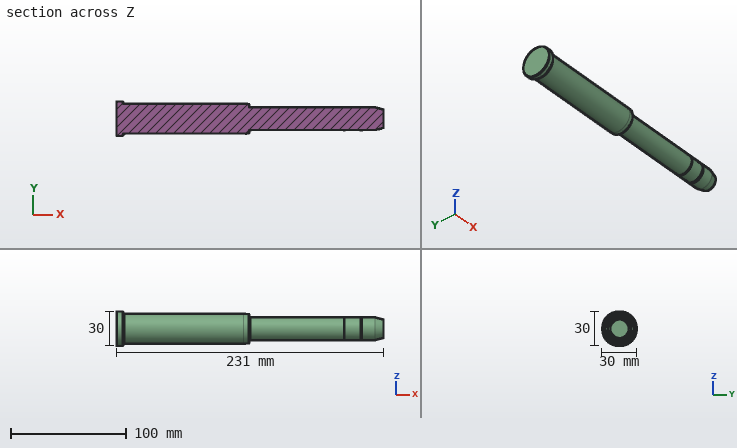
import cadquery as cq
import math

length = 231.0

head_radius = 30.0 / 2
head_length = 6.0
head_chamfer = 1.0
head_face_chamfer = 0.5

body_radius = 26.0 / 2
body_end = 115.0
relief_width = 1.2
relief_depth = 0.12
lead_start = 110.0
lead_drop = 0.12
body_end_chamfer = 1.0

shaft_radius = 20.0 / 2
nose_length = 7.6
nose_angle = 15.0

groove_depth = 0.12
narrow_groove_width = 0.7
narrow_groove_start = 196.5
wide_groove_start = 211.0
wide_groove_width = 1.5


def cylinder(start, width, radius):
    """Solid disc on the X axis, from X = start to X = start + width."""
    return cq.Workplane("YZ").workplane(offset=start).circle(radius).extrude(width)


def ring_groove(start, width, outer_radius, depth):
    """Ring to cut away, leaving a groove of the given width and depth."""
    return cylinder(start, width, outer_radius).cut(cylinder(start, width, outer_radius - depth))


def make_head():
    head = cylinder(0, head_length, head_radius)
    head = head.faces(">X").edges().chamfer(head_chamfer)
    return head.faces("<X").edges().chamfer(head_face_chamfer)


def make_body():
    lead_radius = body_radius - lead_drop
    outline = (
        cq.Workplane("XY")
        .lineTo(0, body_radius)
        .lineTo(lead_start, body_radius)
        .lineTo(body_end, lead_radius)
        .lineTo(body_end, 0)
        .close()
    )
    body = outline.revolve(360, (0, 0, 0), (1, 0, 0)).faces(">X").edges().chamfer(body_end_chamfer)
    return body.cut(ring_groove(head_length, relief_width, body_radius, relief_depth))


def make_shaft():
    tip_radius = shaft_radius - nose_length * math.tan(math.radians(nose_angle))
    outline = (
        cq.Workplane("XY")
        .lineTo(0, shaft_radius)
        .lineTo(length - nose_length, shaft_radius)
        .lineTo(length, tip_radius)
        .lineTo(length, 0)
        .close()
    )
    shaft = outline.revolve(360, (0, 0, 0), (1, 0, 0))
    for start, width in (
        (body_end, narrow_groove_width),
        (narrow_groove_start, narrow_groove_width),
        (wide_groove_start, wide_groove_width),
    ):
        shaft = shaft.cut(ring_groove(start, width, shaft_radius, groove_depth))
    return shaft


result = make_head().union(make_body()).union(make_shaft())